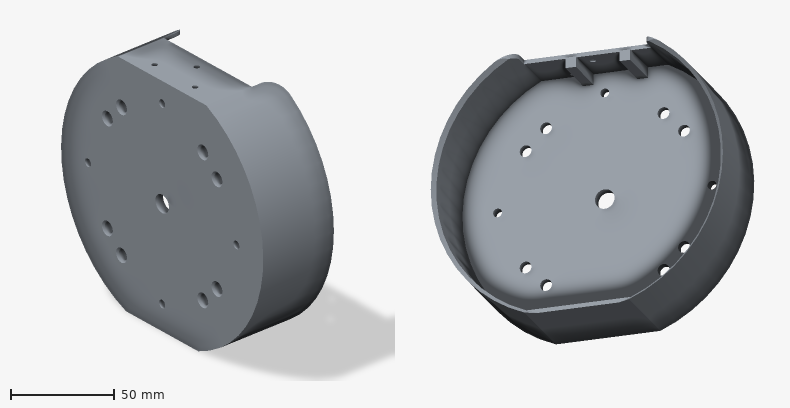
import cadquery as cq
import math

drum_radius = 75.0
drum_depth = 45.0
top_flat_z = 67.5
bottom_flat_z = -70.0

plate_thickness = 5.0
flat_wall = 2.1
round_wall = 2.0
bore_radius = drum_radius - round_wall
top_wall_depth = 29.1
lip_taper_depth = 2.5

opening_half_width = math.sqrt(drum_radius**2 - top_flat_z**2)
rim_round = 10.0

center_hole_diameter = 10.0
pin_hole_diameter = 4.5
pin_hole_offset = 55.0
screw_hole_diameter = 6.0
countersink_depth = 1.0
screw_far_offset = 40.6
screw_near_offset = 30.1

wall_hole_diameter = 3.1
wall_hole_points = [(-15.0, 8.1), (15.0, 8.1), (0.0, 22.0)]

post_width = 5.4
post_rise = 1.3
post_top_y = top_wall_depth + post_rise
post_centers_x = [-19.5, 8.4]


def disc(radius, y_start, y_end):
    """Cylinder on the drum axis between two depths."""
    return (
        cq.Workplane("XZ", origin=(0, y_start, 0))
        .circle(radius)
        .extrude(y_start - y_end)
    )


def box(x_range, y_range, z_range):
    """Axis-aligned box given by its limits."""
    lows, highs = zip(x_range, y_range, z_range)
    sizes = [high - low for low, high in zip(lows, highs)]
    return cq.Workplane("XY").box(*sizes, centered=False).translate(lows)


def flatted_disc(radius, y_range, z_range):
    """Cylinder on the drum axis trimmed by a lower and an upper flat."""
    slab = box((-radius, radius), y_range, z_range)
    return disc(radius, *y_range).intersect(slab)


def cavity():
    """Pocket inside the walls, following the drum and both of its flats."""
    return flatted_disc(
        bore_radius,
        (plate_thickness, drum_depth),
        (bottom_flat_z + flat_wall, top_flat_z - flat_wall),
    )


def top_opening():
    """Gap in the upper rim behind the top wall, flaring out at the back face."""
    flared_half_width = opening_half_width + rim_round
    round_start_y = drum_depth - rim_round
    return (
        cq.Workplane("XY")
        .moveTo(-opening_half_width, top_wall_depth)
        .lineTo(-opening_half_width, round_start_y)
        .radiusArc((-flared_half_width, drum_depth), -rim_round)
        .lineTo(flared_half_width, drum_depth)
        .radiusArc((opening_half_width, round_start_y), -rim_round)
        .lineTo(opening_half_width, top_wall_depth)
        .close()
        .extrude(drum_radius)
    )


def lip_taper():
    """Cone frustum that bevels the back edge of the rim to a sharp outer edge."""
    return (
        cq.Workplane("XZ", origin=(0, drum_depth, 0))
        .circle(drum_radius)
        .workplane(offset=lip_taper_depth)
        .circle(bore_radius)
        .loft(ruled=True)
    )


def plate_hole(x, z, diameter):
    """Round hole through the front plate."""
    return disc(diameter / 2, 0, plate_thickness).translate((x, 0, z))


def countersink(x, z):
    """45 degree countersink of a screw hole at the front face."""
    return (
        cq.Workplane("XZ", origin=(x, 0, z))
        .circle(screw_hole_diameter / 2 + countersink_depth)
        .workplane(offset=-countersink_depth)
        .circle(screw_hole_diameter / 2)
        .loft(ruled=True)
    )


def wall_hole(x, y):
    """Round hole through the top wall."""
    return (
        cq.Workplane("XY", origin=(x, y, top_flat_z - flat_wall))
        .circle(wall_hole_diameter / 2)
        .extrude(flat_wall)
    )


def post(center_x):
    """Square post rising from the plate against the inside of the top wall."""
    outer_z = top_flat_z - flat_wall
    return box(
        (center_x - post_width / 2, center_x + post_width / 2),
        (plate_thickness, post_top_y),
        (outer_z - post_width, outer_z),
    )


result = flatted_disc(drum_radius, (0, drum_depth), (bottom_flat_z, top_flat_z))
result = result.cut(cavity()).cut(top_opening()).cut(lip_taper())

for center_x in post_centers_x:
    result = result.union(post(center_x))

result = result.cut(plate_hole(0, 0, center_hole_diameter))

for side in (-1, 1):
    offset = side * pin_hole_offset
    result = result.cut(plate_hole(offset, 0, pin_hole_diameter))
    result = result.cut(plate_hole(0, offset, pin_hole_diameter))

screw_offsets = [
    (screw_far_offset, screw_near_offset),
    (screw_near_offset, screw_far_offset),
]
for x_offset, z_offset in screw_offsets:
    for x in (-x_offset, x_offset):
        for z in (-z_offset, z_offset):
            result = result.cut(plate_hole(x, z, screw_hole_diameter))
            result = result.cut(countersink(x, z))

for x, y in wall_hole_points:
    result = result.cut(wall_hole(x, y))